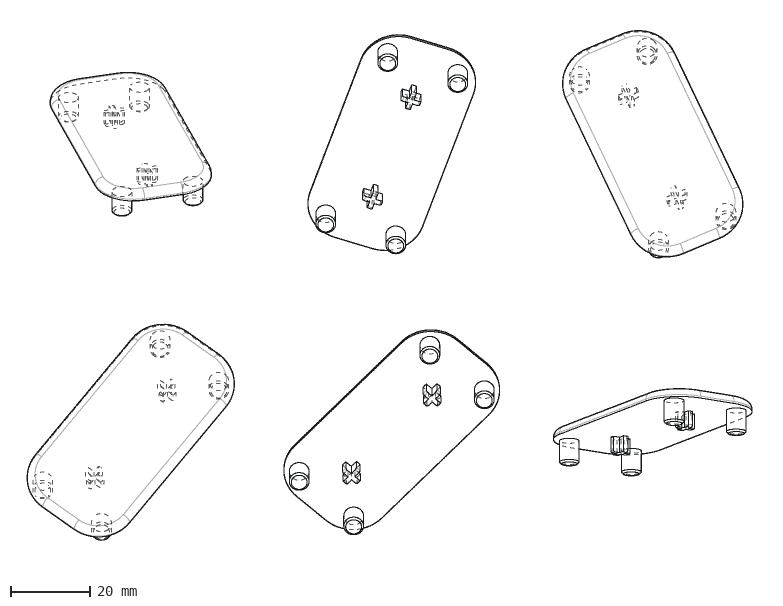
import cadquery as cq

PLATE_LENGTH = 60.0
PLATE_WIDTH = 30.0
PLATE_THICKNESS = 2.5
CORNER_RADIUS = 10.0
TOP_EDGE_RADIUS = 2.0

POST_DIAMETER = 5.0
POST_LENGTH = 6.0
POST_TIP_CHAMFER = 0.5
POST_INSET = 5.67

PEG_DIAMETER = 5.1
PEG_LENGTH = 4.0
PEG_TIP_RADIUS = 0.5
PEG_ARM_WIDTH = 1.25
PEG_SPACING = 30.0

post_x = PLATE_LENGTH / 2 - POST_INSET
post_y = PLATE_WIDTH / 2 - POST_INSET
peg_x = PEG_SPACING / 2


def make_plate():
    """Rounded rectangular plate with a rounded top edge."""
    plate = cq.Workplane("XY").box(
        PLATE_LENGTH, PLATE_WIDTH, PLATE_THICKNESS, centered=(True, True, False)
    )
    plate = plate.edges("|Z").fillet(CORNER_RADIUS)
    return plate.faces(">Z").edges().fillet(TOP_EDGE_RADIUS)


def make_post():
    """Round post hanging below Z = 0 with a chamfered tip."""
    post = cq.Workplane("XY").circle(POST_DIAMETER / 2).extrude(-POST_LENGTH)
    return post.faces("<Z").edges().chamfer(POST_TIP_CHAMFER)


def make_peg():
    """Round-tipped pin below Z = 0, reduced to two crossing arms."""
    pin = cq.Workplane("XY").circle(PEG_DIAMETER / 2).extrude(-PEG_LENGTH)
    pin = pin.faces("<Z").edges().fillet(PEG_TIP_RADIUS)
    arm_along_x = cq.Workplane("XY").rect(PEG_DIAMETER, PEG_ARM_WIDTH).extrude(-PEG_LENGTH)
    arm_along_y = cq.Workplane("XY").rect(PEG_ARM_WIDTH, PEG_DIAMETER).extrude(-PEG_LENGTH)
    return pin.intersect(arm_along_x.union(arm_along_y))


result = make_plate()

post = make_post()
for x in (-post_x, post_x):
    for y in (-post_y, post_y):
        result = result.union(post.translate((x, y, 0)))

peg = make_peg()
for x in (-peg_x, peg_x):
    result = result.union(peg.translate((x, 0, 0)))